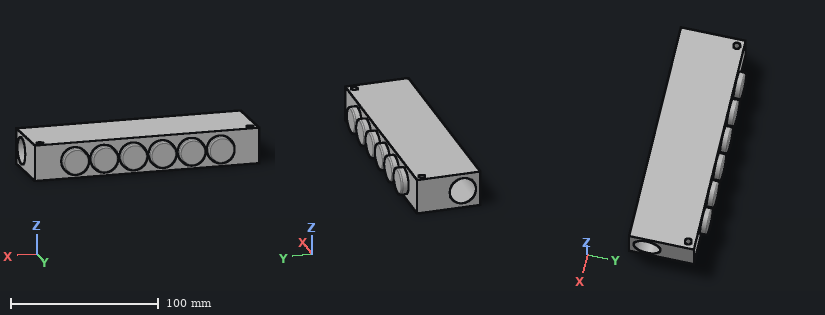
import cadquery as cq

block_length = 158.0
block_depth = 45.0
block_height = 25.0

bore_diameter = 18.63
bore_from_plain_side = block_height / 2

spigot_count = 6
spigot_pitch = 20.5
spigot_diameter = 18.5
spigot_length = 5.0
spigot_rim_radius = 1.0

mounting_hole_diameter = 4.6
mounting_hole_inset = 5.0


def make_block():
    return cq.Workplane("XY").box(
        block_length, block_depth, block_height, centered=(True, False, True)
    )


def make_spigot(x):
    """Solid spigot along +Y with a rounded rim at its free end."""
    spigot = (
        cq.Workplane("XZ", origin=(x, block_depth, 0))
        .circle(spigot_diameter / 2)
        .extrude(-spigot_length)
    )
    return spigot.faces(">Y").edges().fillet(spigot_rim_radius)


def make_bore():
    return (
        cq.Workplane("YZ")
        .center(bore_from_plain_side, 0)
        .circle(bore_diameter / 2)
        .extrude(block_length / 2, both=True)
    )


def make_mounting_holes():
    hole_x = block_length / 2 - mounting_hole_inset
    hole_y = block_depth - mounting_hole_inset
    return (
        cq.Workplane("XY")
        .pushPoints([(-hole_x, hole_y), (hole_x, hole_y)])
        .circle(mounting_hole_diameter / 2)
        .extrude(block_height / 2, both=True)
    )


result = make_block()
for index in range(spigot_count):
    spigot_x = (index - (spigot_count - 1) / 2) * spigot_pitch
    result = result.union(make_spigot(spigot_x))
result = result.cut(make_bore()).cut(make_mounting_holes())